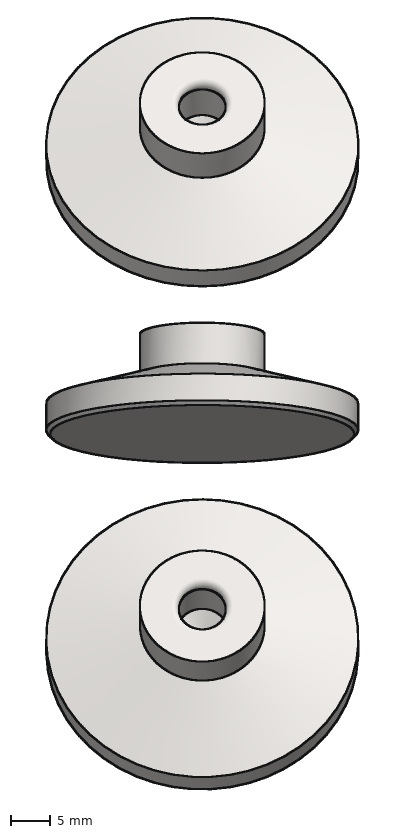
import cadquery as cq
import math

disc_radius = 20.0
rim_height = 4.0
bottom_chamfer = 0.5
hub_radius = 8.0
hub_base_height = 7.7
total_height = 13.0

hole_diameter = 6.6
throat_radius = 3.0
lip_round = 0.9
hole_depth = 7.2
drill_point_angle = 118.0

hole_radius = hole_diameter / 2
hole_floor = total_height - hole_depth
tip_depth = hole_radius / math.tan(math.radians(drill_point_angle / 2))

lip_center_radius = throat_radius + lip_round
lip_center_height = total_height - lip_round
lip_drop = math.sqrt(lip_round**2 - (lip_center_radius - hole_radius) ** 2)

section = (
    cq.Workplane("XZ")
    .lineTo(disc_radius - bottom_chamfer, 0)
    .lineTo(disc_radius, bottom_chamfer)
    .lineTo(disc_radius, rim_height)
    .lineTo(hub_radius, hub_base_height)
    .lineTo(hub_radius, total_height)
    .lineTo(lip_center_radius, total_height)
    .threePointArc(
        (throat_radius, lip_center_height),
        (hole_radius, lip_center_height - lip_drop),
    )
    .lineTo(hole_radius, hole_floor)
    .lineTo(0, hole_floor - tip_depth)
    .close()
)

result = section.revolve(360, (0, 0), (0, 1))